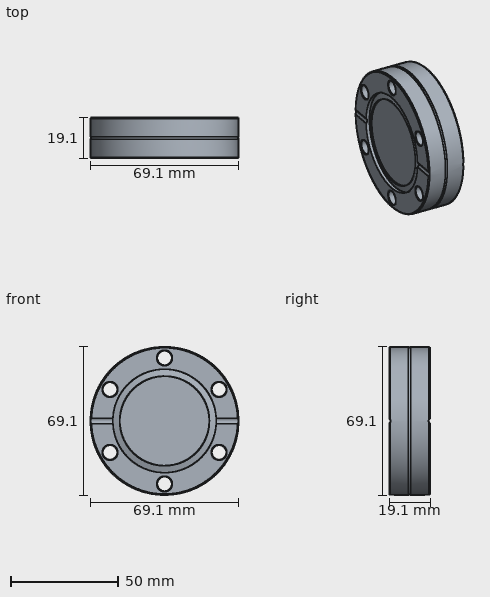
import cadquery as cq

outer_diameter = 69.1
thickness = 19.1
rim_chamfer_depth = 0.55
rim_chamfer_width = 0.5

rim_groove_width = 1.05
rim_groove_depth = 0.35

recess_diameter = 48.2
recess_depth = 1.8
knife_diameter = 41.9
knife_tip_depth = 0.6
center_diameter = 41.6
center_depth = 1.25

hole_count = 6
hole_diameter = 6.7
bolt_circle_diameter = 58.7
hole_chamfer = 0.3

slot_width = 2.4
slot_depth = 0.6

outer_radius = outer_diameter / 2
half_thickness = thickness / 2


def make_body():
    """Revolve the half section (radius, Y) about the Y axis."""
    recess_radius = recess_diameter / 2
    recess_y = half_thickness - recess_depth
    knife_y = half_thickness - knife_tip_depth
    center_y = half_thickness - center_depth
    chamfer_y = half_thickness - rim_chamfer_depth
    face_radius = outer_radius - rim_chamfer_width
    half_groove = rim_groove_width / 2
    upper_half = [
        (outer_radius, chamfer_y),
        (face_radius, half_thickness),
        (recess_radius, half_thickness),
        (recess_radius, recess_y),
        (knife_diameter / 2, knife_y),
        (center_diameter / 2, center_y),
        (0, center_y),
    ]
    section = cq.Workplane("XY").moveTo(outer_radius, -half_groove)
    section = section.threePointArc((outer_radius - rim_groove_depth, 0), (outer_radius, half_groove))
    for radius, y in upper_half:
        section = section.lineTo(radius, y)
    for radius, y in reversed(upper_half):
        section = section.lineTo(radius, -y)
    return section.close().revolve(360, (0, 0, 0), (0, 1, 0))


def make_bolt_hole(angle):
    """Through hole with a small chamfer at each face."""
    hole_radius = hole_diameter / 2
    mouth_radius = hole_radius + hole_chamfer
    hole = (
        cq.Workplane("XY")
        .polyline([
            (0, -half_thickness),
            (mouth_radius, -half_thickness),
            (hole_radius, -half_thickness + hole_chamfer),
            (hole_radius, half_thickness - hole_chamfer),
            (mouth_radius, half_thickness),
            (0, half_thickness),
        ])
        .close()
        .revolve(360, (0, 0, 0), (0, 1, 0))
    )
    hole = hole.translate((0, 0, bolt_circle_diameter / 2))
    return hole.rotate((0, 0, 0), (0, 1, 0), angle)


def make_slots():
    """Round bars across both faces; they leave arc-shaped slots, outside the recess only."""
    bar_radius = ((slot_width / 2) ** 2 + slot_depth ** 2) / (2 * slot_depth)
    bar_y = half_thickness - slot_depth + bar_radius
    bars = (
        cq.Workplane("YZ")
        .pushPoints([(-bar_y, 0), (bar_y, 0)])
        .circle(bar_radius)
        .extrude(outer_radius, both=True)
    )
    recess_core = cq.Workplane("XZ").circle(recess_diameter / 2).extrude(thickness, both=True)
    return bars.cut(recess_core)


result = make_body().cut(make_slots())
for index in range(hole_count):
    result = result.cut(make_bolt_hole(index * 360 / hole_count))